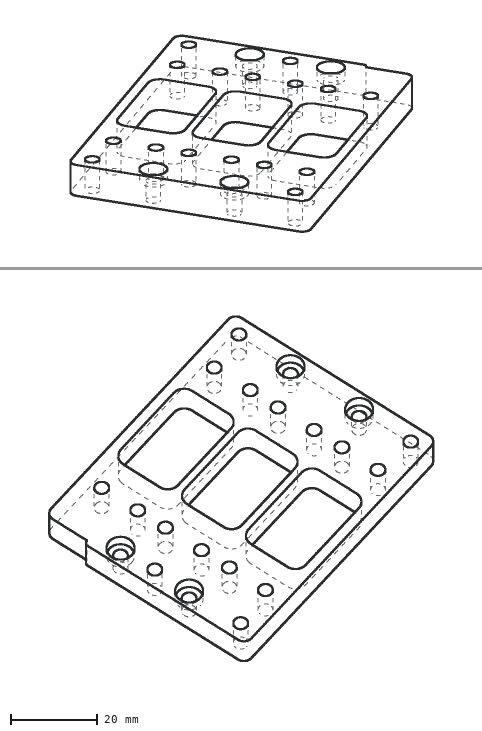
import cadquery as cq

width = 59.3
length = 73.1
thickness = 8.0
corner_radius = 2.2

step_depth = 1.1
step_x = 17.55
step_radius = 1.0

window_pitch = 18.65
window_width = 16.7
window_length = 26.25
window_radius = 3.0
window_hole_spacing = 10.5
window_hole_y = 21.5

hole_diameter = 3.4
edge_hole_y = 32.45
corner_hole_x = 25.1
counterbore_x = 10.0
counterbore_diameter = 6.5
counterbore_depth = 3.0

window_centers = [-window_pitch, 0, window_pitch]


def make_plate():
    """Rounded plate with the back edge set in by a small step beyond step_x."""
    right = width / 2
    back = length / 2
    stepped_back = back - step_depth
    outline = (
        cq.Workplane("XY")
        .moveTo(-right, -back)
        .lineTo(right, -back)
        .lineTo(right, stepped_back)
        .lineTo(step_x, stepped_back)
        .lineTo(step_x, back)
        .lineTo(-right, back)
        .close()
    )
    plate = outline.extrude(thickness)
    plate = plate.edges("|Z and (<X or >X)").fillet(corner_radius)
    step_corner = cq.selectors.NearestToPointSelector((step_x, back, thickness / 2))
    return plate.edges("|Z").edges(step_corner).fillet(step_radius)


def cut_windows(plate):
    """Cut the rounded rectangular windows through the plate."""
    windows = (
        cq.Workplane("XY")
        .pushPoints([(x, 0) for x in window_centers])
        .rect(window_width, window_length)
        .extrude(thickness)
        .edges("|Z")
        .fillet(window_radius)
    )
    return plate.cut(windows)


def plain_hole_points():
    """Centers of the through holes that have no counterbore."""
    points = [
        (-corner_hole_x, -edge_hole_y),
        (corner_hole_x, -edge_hole_y),
        (-corner_hole_x, edge_hole_y),
        (0, edge_hole_y),
    ]
    for center in window_centers:
        for side in (-1, 1):
            x = center + side * window_hole_spacing / 2
            points += [(x, -window_hole_y), (x, window_hole_y)]
    return points


def drill_holes(plate):
    """Drill the plain holes, then the four counterbored ones from the top."""
    counterbore_points = [
        (x, y)
        for x in (-counterbore_x, counterbore_x)
        for y in (-edge_hole_y, edge_hole_y)
    ]
    plate = (
        plate.faces(">Z")
        .workplane(origin=(0, 0, 0))
        .pushPoints(plain_hole_points())
        .hole(hole_diameter)
    )
    return (
        plate.faces(">Z")
        .workplane(origin=(0, 0, 0))
        .pushPoints(counterbore_points)
        .cboreHole(hole_diameter, counterbore_diameter, counterbore_depth)
    )


result = drill_holes(cut_windows(make_plate()))